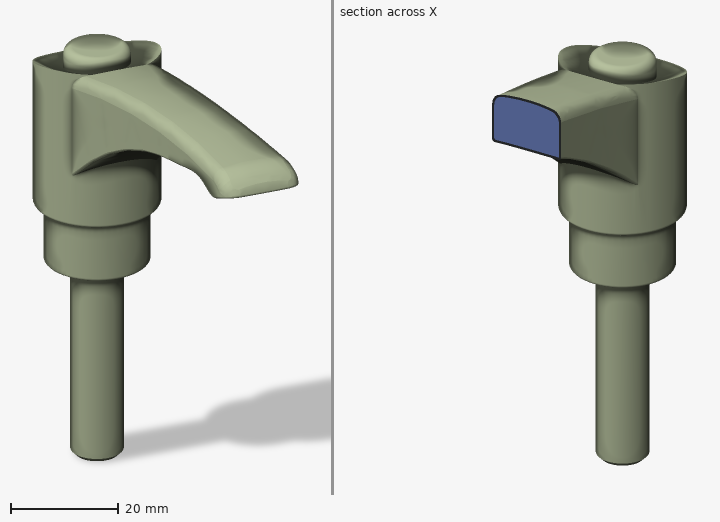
import cadquery as cq
import math


stud_diameter = 10.0
stud_length = 40.0
stud_chamfer = 0.9
collar_diameter = 20.0
collar_height = 12.0
hub_diameter = 24.0
hub_radius = hub_diameter / 2
rim_low_z = 37.9
lower_edge_radius = 0.6
button_diameter = 12.6
button_top_z = 44.0
button_edge_radius = 1.55

dish_lengthwise_radius = 52.0
dish_crosswise_radius = 26.0
dish_axis_z = rim_low_z + dish_lengthwise_radius
cut_margin = 1.0
dish_half_width = hub_radius + cut_margin

lever_length = 79.68
overall_top_z = 52.93
crest_x = 73.4
back_radius = 290.0
back_tilt = 1.7
nose_radius = 8.4
crown_radius = 36.0
crown_half_width = hub_radius
root_x = 4.0
root_top_z = 41.0
root_bottom_z = 18.4
underside_points = [(13.8, 26.8), (24.4, 34.0), (35.1, 39.3), (45.8, 43.0), (56.4, 45.6)]
neck = (67.5, 47.15)
lip = (72.4, 46.4)
lip_slope = (76.0, 47.7)
tip_bottom_z = 48.95
root_half_width = 8.95
waist_x = 48.0
waist_half_width = 7.2
end_half_width = 8.0
plan_corner_radius = 3.2
top_edge_radius = 2.3
bottom_edge_radius = 0.4


def cylinder(diameter, bottom_z, top_z):
    return cq.Workplane("XY").workplane(offset=bottom_z).circle(diameter / 2).extrude(top_z - bottom_z)


def arc_disc(center_x, center_z, rim_radius, edge_sag, half_width):
    """Disc about an axis parallel to Y whose rim bulges by edge_sag at mid-width."""
    edge_radius = rim_radius - edge_sag
    return (
        cq.Workplane("XY", origin=(center_x, 0, center_z))
        .moveTo(0, -half_width)
        .lineTo(edge_radius, -half_width)
        .threePointArc((rim_radius, 0), (edge_radius, half_width))
        .lineTo(0, half_width)
        .close()
        .revolve(360, (0, 0, 0), (0, 1, 0))
    )


def slab(start_x, end_x, bottom_z, top_z):
    """Box as wide as the hub."""
    size = (end_x - start_x, hub_diameter, top_z - bottom_z)
    return cq.Workplane("XY").box(*size, centered=(False, True, False)).translate((start_x, 0, bottom_z))


def sagitta(radius, half_chord):
    """Height of an arc above its chord."""
    return radius - math.sqrt(radius**2 - half_chord**2)


def make_hub_blank():
    blank = cylinder(hub_diameter, collar_height, overall_top_z)
    return blank.faces("<Z").edges().fillet(lower_edge_radius)


def make_dish():
    """Material removed above the hub, limited to the hub's own diameter."""
    dish_sag = sagitta(dish_crosswise_radius, dish_half_width)
    bowl = arc_disc(-hub_radius, dish_axis_z, dish_lengthwise_radius, dish_sag, dish_half_width)
    return bowl.intersect(cylinder(hub_diameter, collar_height, overall_top_z + cut_margin))


def crowned_disc(center_z, radius):
    crown_sag = sagitta(crown_radius, crown_half_width)
    return arc_disc(crest_x, center_z, radius, crown_sag, crown_half_width)


def make_top_envelope():
    """Crowned back of the lever, running tangentially into a tighter crowned arc over the nose."""
    nose_center_z = overall_top_z - nose_radius
    back = crowned_disc(overall_top_z - back_radius, back_radius)
    nose = crowned_disc(nose_center_z, nose_radius)
    back = back.intersect(slab(-hub_radius, crest_x, 0, overall_top_z))
    nose = nose.intersect(slab(crest_x, lever_length + hub_radius, nose_center_z, overall_top_z))
    below_nose = slab(crest_x, lever_length + hub_radius, 0, nose_center_z)
    envelope = back.union(nose).union(below_nose)
    return envelope.rotate((crest_x, 0, nose_center_z), (crest_x, 1, nose_center_z), -back_tilt)


def round_top_edges(blank):
    """Round one long top edge; tangency carries the rounding around the nose to the other."""
    near_corner = (root_x, waist_half_width / 2, root_top_z)
    far_corner = (crest_x, hub_radius, overall_top_z)
    return blank.edges(cq.selectors.BoxSelector(near_corner, far_corner)).fillet(top_edge_radius)


def make_underside():
    """Everything below the lever's hollow underside, the lip and the slope up to the tip."""
    return (
        cq.Workplane("XZ")
        .moveTo(root_x, 0)
        .lineTo(root_x, root_bottom_z)
        .spline(underside_points + [neck, lip, lip_slope, (lever_length, tip_bottom_z)], includeCurrent=True)
        .lineTo(lever_length, 0)
        .close()
        .extrude(hub_radius, both=True)
    )


def round_bottom_edges(lever):
    """Round both bottom edges; tangency carries the rounding to the tip."""
    end_z = lip_slope[1]
    full_width = cq.selectors.BoxSelector((root_x, -hub_radius, root_bottom_z), (crest_x, hub_radius, end_z))
    middle = cq.selectors.BoxSelector(
        (root_x, -waist_half_width / 2, root_bottom_z), (crest_x, waist_half_width / 2, end_z)
    )
    return lever.edges(full_width - middle).fillet(bottom_edge_radius)


def make_lever():
    """Waisted plan shape, trimmed by the crowned back above and the hollow underside below."""
    plan = (
        cq.Workplane("XY")
        .moveTo(root_x, -root_half_width)
        .threePointArc((waist_x, -waist_half_width), (lever_length, -end_half_width))
        .lineTo(lever_length, end_half_width)
        .threePointArc((waist_x, waist_half_width), (root_x, root_half_width))
        .close()
        .extrude(overall_top_z + cut_margin)
        .edges("|Z and >X")
        .fillet(plan_corner_radius)
    )
    blank = plan.intersect(make_top_envelope())
    return round_bottom_edges(round_top_edges(blank).cut(make_underside()))


stud = cylinder(stud_diameter, -stud_length, 0).faces("<Z").edges().chamfer(stud_chamfer)
collar = cylinder(collar_diameter, 0, collar_height).faces("<Z").edges().fillet(lower_edge_radius)
button = cylinder(button_diameter, collar_height, button_top_z).faces(">Z").edges().fillet(button_edge_radius)
hub_and_lever = make_hub_blank().union(make_lever()).cut(make_dish())
result = hub_and_lever.union(collar).union(stud).union(button, clean=False).solids()